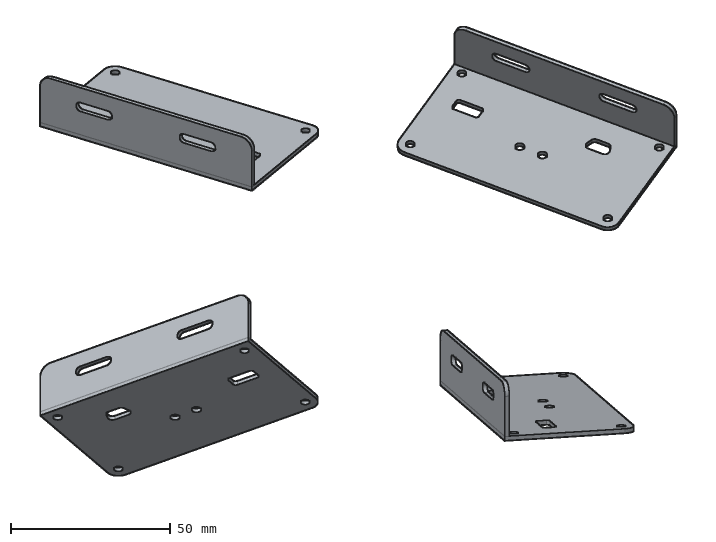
import cadquery as cq

WIDTH = 78.0
DEPTH = 43.0
HEIGHT = 18.5
THICKNESS = 1.5
CORNER_RADIUS = 4.0

MOUNT_HOLE_DIAMETER = 2.8
MOUNT_HOLE_INSET = CORNER_RADIUS

PAIR_HOLE_DIAMETER = 3.0
PAIR_HOLE_SPACING = 8.0
PAIR_HOLE_Y = 24.0

WINDOW_WIDTH = 9.4
WINDOW_DEPTH = 4.5
WINDOW_RADIUS = 0.9
WINDOW_X = 26.25
WINDOW_Y = 16.85

CONNECTOR_BACK_WIDTH = 9.2
CONNECTOR_FRONT_WIDTH = 6.1
CONNECTOR_DEPTH = 4.8
CONNECTOR_RADIUS = 1.5
CONNECTOR_X = -18.0
CONNECTOR_Y = 12.4

SLOT_HEIGHT = 3.2
SLOT_STRAIGHT = 10.0
SLOT_LENGTH = SLOT_STRAIGHT + SLOT_HEIGHT
SLOT_SPACING = 38.0
SLOT_Z = 11.5


def make_base():
    """Base plate with its two back corners rounded."""
    plate = cq.Workplane("XY").box(WIDTH, DEPTH, THICKNESS, centered=(True, False, False))
    return plate.edges("|Z and >Y").fillet(CORNER_RADIUS)


def make_flange():
    """Upright plate on the front edge of the base, with rounded top corners."""
    plate = (
        cq.Workplane("XY", origin=(0, 0, THICKNESS))
        .box(WIDTH, THICKNESS, HEIGHT - THICKNESS, centered=(True, False, False))
    )
    return plate.edges("|Y and >Z").fillet(CORNER_RADIUS)


def make_hole_cutters(points, diameter):
    """Round holes through the base at the given points."""
    return cq.Workplane("XY").pushPoints(points).circle(diameter / 2).extrude(THICKNESS)


def make_mount_hole_cutters():
    """Mounting holes near the four corners of the base."""
    mount_x = WIDTH / 2 - MOUNT_HOLE_INSET
    points = [
        (x, y)
        for x in (-mount_x, mount_x)
        for y in (MOUNT_HOLE_INSET, DEPTH - MOUNT_HOLE_INSET)
    ]
    return make_hole_cutters(points, MOUNT_HOLE_DIAMETER)


def make_pair_hole_cutters():
    """Two holes side by side near the middle of the base."""
    points = [(side * PAIR_HOLE_SPACING / 2, PAIR_HOLE_Y) for side in (-1, 1)]
    return make_hole_cutters(points, PAIR_HOLE_DIAMETER)


def make_window_cutter():
    """Rounded rectangular window through the base."""
    return (
        cq.Workplane("XY", origin=(WINDOW_X, WINDOW_Y, 0))
        .rect(WINDOW_WIDTH, WINDOW_DEPTH)
        .extrude(THICKNESS)
        .edges("|Z")
        .fillet(WINDOW_RADIUS)
    )


def make_connector_cutter():
    """Rounded trapezoidal opening through the base."""
    return (
        cq.Workplane("XY", origin=(CONNECTOR_X, CONNECTOR_Y, 0))
        .polyline([
            (-CONNECTOR_BACK_WIDTH / 2, CONNECTOR_DEPTH / 2),
            (CONNECTOR_BACK_WIDTH / 2, CONNECTOR_DEPTH / 2),
            (CONNECTOR_FRONT_WIDTH / 2, -CONNECTOR_DEPTH / 2),
            (-CONNECTOR_FRONT_WIDTH / 2, -CONNECTOR_DEPTH / 2),
        ])
        .close()
        .extrude(THICKNESS)
        .edges("|Z")
        .fillet(CONNECTOR_RADIUS)
    )


def make_slot_cutters():
    """Two round-ended slots through the flange."""
    slot_points = [(side * SLOT_SPACING / 2, SLOT_Z) for side in (-1, 1)]
    return (
        cq.Workplane("XZ")
        .pushPoints(slot_points)
        .slot2D(SLOT_LENGTH, SLOT_HEIGHT)
        .extrude(-THICKNESS)
    )


result = (
    make_base()
    .union(make_flange(), clean=False)
    .cut(make_mount_hole_cutters(), clean=False)
    .cut(make_pair_hole_cutters(), clean=False)
    .cut(make_window_cutter(), clean=False)
    .cut(make_connector_cutter(), clean=False)
    .cut(make_slot_cutters(), clean=False)
)